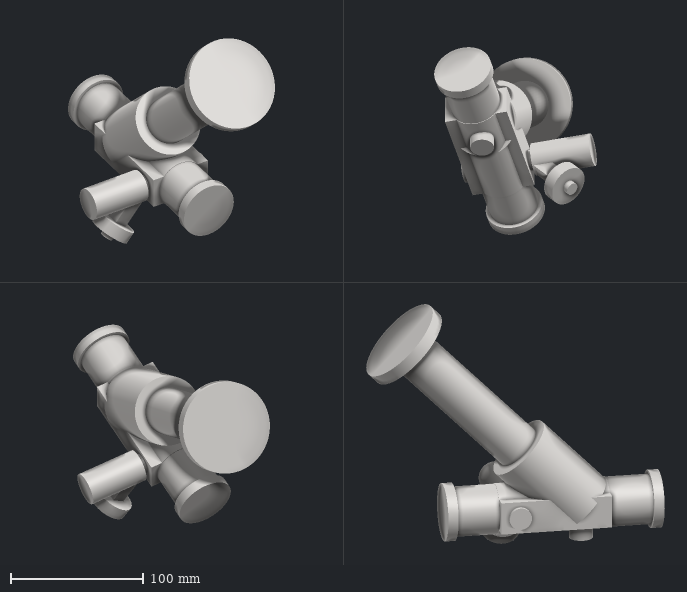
import cadquery as cq
import math

pipe_length = 167.0
pipe_diameter = 38.2
pipe_flange_diameter = 44.3
pipe_flange_thickness = 7.9

block_start = 41.0
block_length = 85.5
block_width = 48.2
block_height = 25.0
core_diameter = 39.2

branch_foot_x = 60.3
boss_diameter = 18.0
boss_bottom_depth = 27.0

branch_angle = 45.0
sleeve_diameter = 53.0
sleeve_length = 68.0
stem_diameter = 36.0
branch_length = 198.0
branch_flange_diameter = 70.0
branch_flange_thickness = 10.0

side_x = 112.0
rear_pin_diameter = 17.0
front_pin_diameter = 16.0
pin_end = 27.5
side_diameter = block_height
side_length = 46.0

wheel_tilt = 50.0
wheel_axis_y = -26.5
bar_size = 11.2
bar_start = 10.0
wheel_start = 33.3
wheel_thickness = 10.0
wheel_diameter = 31.3
hub_diameter = 10.0
hub_height = 4.7


def cylinder(origin, direction, diameter, start, end):
    """Cylinder along a direction, between two distances from the origin."""
    axis = cq.Vector(*direction)
    base = cq.Vector(*origin) + axis * start
    return cq.Workplane(cq.Solid.makeCylinder(diameter / 2, end - start, base, axis))


def make_pipe():
    origin = (0, 0, 0)
    along = (1, 0, 0)
    pipe = cylinder(origin, along, pipe_diameter, 0, pipe_length)
    for start in (0, pipe_length - pipe_flange_thickness):
        end = start + pipe_flange_thickness
        pipe = pipe.union(cylinder(origin, along, pipe_flange_diameter, start, end))
    return pipe


def make_block():
    block = cq.Workplane().box(block_length, block_width, block_height, centered=(False, True, True))
    core = cylinder((block_start, 0, 0), (1, 0, 0), core_diameter, 0, block_length)
    return block.translate((block_start, 0, 0)).union(core)


def make_boss():
    return cylinder((branch_foot_x, 0, 0), (0, 0, -1), boss_diameter, 0, boss_bottom_depth)


def make_branch():
    foot = (branch_foot_x, 0, 0)
    angle = math.radians(branch_angle)
    along = (math.cos(angle), 0, math.sin(angle))
    flange_start = branch_length - branch_flange_thickness
    sleeve = cylinder(foot, along, sleeve_diameter, 0, sleeve_length)
    stem = cylinder(foot, along, stem_diameter, 0, branch_length)
    flange = cylinder(foot, along, branch_flange_diameter, flange_start, branch_length)
    return sleeve.union(stem).union(flange)


def make_side_cylinder():
    origin = (side_x, 0, 0)
    along = (0, -1, 0)
    rear_pin = cylinder(origin, along, rear_pin_diameter, -pin_end, 0)
    front_pin = cylinder(origin, along, front_pin_diameter, 0, pin_end)
    side = cylinder(origin, along, side_diameter, pin_end, pin_end + side_length)
    return rear_pin.union(front_pin).union(side)


def make_handwheel():
    origin = (side_x, wheel_axis_y, 0)
    angle = math.radians(wheel_tilt)
    along = (0, -math.cos(angle), -math.sin(angle))
    wheel_end = wheel_start + wheel_thickness
    wheel = cylinder(origin, along, wheel_diameter, wheel_start, wheel_end)
    hub = cylinder(origin, along, hub_diameter, wheel_start, wheel_end + hub_height)
    bar_plane = cq.Plane(origin=origin, xDir=(1, 0, 0), normal=along)
    bar = cq.Workplane(bar_plane).workplane(offset=bar_start).rect(bar_size, bar_size)
    bar = bar.extrude(wheel_end - bar_start)
    return wheel.union(hub).union(bar)


body = make_pipe().union(make_block()).union(make_boss()).union(make_branch())
result = body.union(make_side_cylinder()).union(make_handwheel())